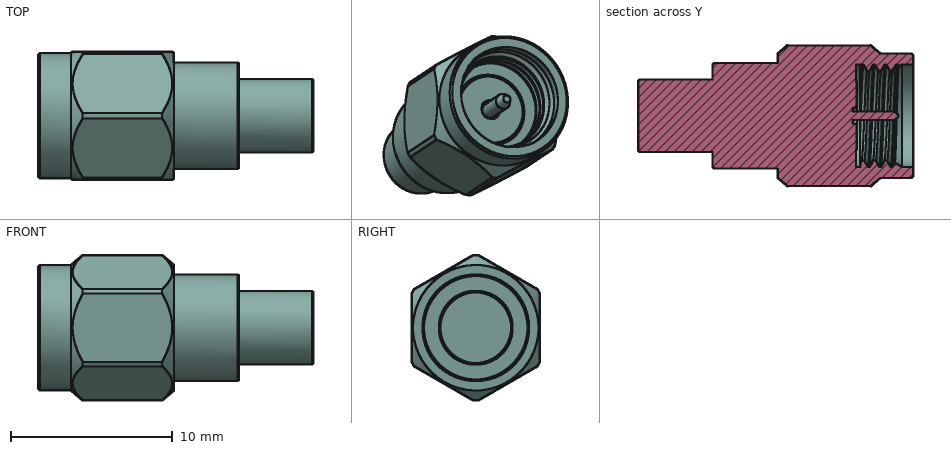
import cadquery as cq
import math


total_length = 17.02
collar_diameter = 7.76
collar_length = 2.03
hex_across_flats = 7.94
hex_corner_diameter = 8.99
hex_end_x = 8.4
hex_chamfer_length = 0.73
body_diameter = 6.6
body_end_x = 12.43
tail_diameter = 4.57
collar_chamfer = 0.125
rear_chamfer = 0.1

mouth_diameter = 6.35
mouth_depth = 0.7
thread_root_diameter = 6.33
minor_diameter = 5.57
lead_in_length = 0.65
socket_depth = 3.55
relief_start = 3.3
floor_plug_end_x = 4.1
thread_pitch = 25.4 / 36
thread_root_width = 0.1
thread_half_angle = 30.0
thread_turns = 5.3
thread_start_x = -0.165
thread_start_angle = -60.0

insulator_diameter = 4.45
insulator_chamfer = 0.13
insulator_height = 0.06
pin_gap_diameter = 1.19
pin_gap_depth = 0.25
pin_diameter = 0.94
pin_tip_diameter = 0.46
pin_tip_x = 0.5
pin_cone_end_x = 1.2
insulator_face_x = socket_depth - insulator_height
pin_gap_end_x = insulator_face_x + pin_gap_depth


def revolve_about_x(profile):
    """Revolve (x, radius) points, closed along the axis, into a solid."""
    axis_start = (profile[0][0], 0)
    axis_end = (profile[-1][0], 0)
    outline = cq.Workplane("XY").polyline([axis_start, *profile, axis_end]).close()
    return outline.revolve(360, (0, 0, 0), (1, 0, 0))


def cylinder(start_x, end_x, diameter):
    return revolve_about_x([(start_x, diameter / 2), (end_x, diameter / 2)])


def make_collar():
    radius = collar_diameter / 2
    return revolve_about_x([
        (0, radius - collar_chamfer),
        (collar_chamfer, radius),
        (collar_length, radius),
    ])


def make_hex():
    """Hexagon with flats on +Y and -Y, turned to a round with conical ends."""
    across_corners = hex_across_flats / math.cos(math.pi / 6)
    prism = (
        cq.Workplane("YZ", origin=(collar_length, 0, 0))
        .transformed(rotate=(0, 0, 90))
        .polygon(6, across_corners)
        .extrude(hex_end_x - collar_length)
    )
    end_radius = collar_diameter / 2
    corner_radius = hex_corner_diameter / 2
    envelope = revolve_about_x([
        (collar_length, end_radius),
        (collar_length + hex_chamfer_length, corner_radius),
        (hex_end_x - hex_chamfer_length, corner_radius),
        (hex_end_x, end_radius),
    ])
    return prism.intersect(envelope)


def make_rear_step(start_x, end_x, diameter):
    """Cylinder with a small chamfer on its rear edge."""
    radius = diameter / 2
    return revolve_about_x([
        (start_x, radius),
        (end_x - rear_chamfer, radius),
        (end_x, radius - rear_chamfer),
    ])


def make_socket():
    """Plain mouth, conical lead-in, thread bore and a relief that runs past the floor."""
    mouth_radius = mouth_diameter / 2
    minor_radius = minor_diameter / 2
    return revolve_about_x([
        (0, mouth_radius),
        (mouth_depth, mouth_radius),
        (mouth_depth + lead_in_length, minor_radius),
        (relief_start, minor_radius),
        (relief_start, mouth_radius),
        (floor_plug_end_x, mouth_radius),
    ])


def make_thread_turn(turn):
    """One turn of the right-handed V groove, built along Z and then laid along X.

    The last turn is only the fraction that remains of the thread.
    """
    turn_height = min(1, thread_turns - turn) * thread_pitch
    overlap = 0.1
    root_radius = thread_root_diameter / 2
    inner_radius = minor_diameter / 2 - overlap
    half_root = thread_root_width / 2
    flank_run = (root_radius - inner_radius) * math.tan(math.radians(thread_half_angle))
    half_mouth = half_root + flank_run
    helix = cq.Workplane(cq.Wire.makeHelix(thread_pitch, turn_height, root_radius))
    groove = (
        cq.Workplane("XZ")
        .polyline([
            (root_radius, -half_root),
            (root_radius, half_root),
            (inner_radius, half_mouth),
            (inner_radius, -half_mouth),
        ])
        .close()
        .sweep(helix, isFrenet=True)
    )
    return (
        groove.rotate((0, 0, 0), (0, 0, 1), thread_start_angle)
        .rotate((0, 0, 0), (0, 1, 0), 90)
        .translate((thread_start_x + turn * thread_pitch, 0, 0))
    )


def make_floor():
    """Plug that closes the threaded bore, with the bevelled insulator on its face."""
    plug = cylinder(socket_depth, floor_plug_end_x, mouth_diameter)
    radius = insulator_diameter / 2
    boss = revolve_about_x([
        (insulator_face_x, radius - insulator_chamfer),
        (socket_depth, radius),
    ])
    pin_gap = cylinder(insulator_face_x, pin_gap_end_x, pin_gap_diameter)
    return plug.union(boss).cut(pin_gap)


def make_pin():
    return revolve_about_x([
        (pin_tip_x, pin_tip_diameter / 2),
        (pin_cone_end_x, pin_diameter / 2),
        (pin_gap_end_x, pin_diameter / 2),
    ])


shell = (
    make_collar()
    .union(make_hex())
    .union(make_rear_step(hex_end_x, body_end_x, body_diameter))
    .union(make_rear_step(body_end_x, total_length, tail_diameter))
    .cut(make_socket())
)
for turn in range(math.ceil(thread_turns)):
    shell = shell.cut(make_thread_turn(turn))
result = shell.union(make_floor()).union(make_pin())